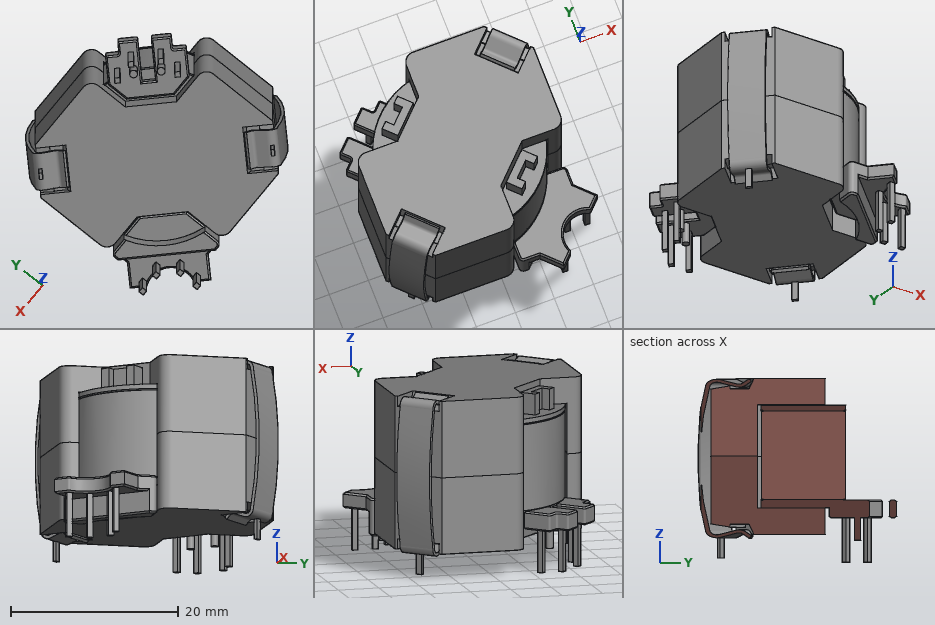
import cadquery as cq
import math

TURN = -45.0

CORE_HALF_SIDE = 12.38
CORE_HEIGHT = 9.33
CLIP_FLAT = 14.25
NOTCH_FLAT = 6.77
NOTCH_HALF = 3.07
CORE_ROUND = 1.3
CAVITY_RADIUS = 10.6
CAVITY_DEPTH = 6.15
POST_RADIUS = 5.45

SLOT_WIDTH = 5.7
SLOT_START = 10.6
SLOT_FLOOR_START = 11.02
SLOT_FLOOR = 8.1
SLOT_STEP = 12.6
SLOT_STEP_TOP = 8.45
SLOT_RAMP_END = 8.08

FLANGE_RADIUS = 10.42
UPPER_FLANGE = (5.4, 6.12)
LOWER_FLANGE = (-6.15, -5.1)
FLANGE_BEVEL = 0.15
HUB_RADIUS = 6.12
WINDING_RADIUS = 10.4
TAB_INNER, TAB_OUTER, TAB_RECESS = 7.1, 9.17, 8.08
TAB_HALF, TAB_RECESS_HALF = 2.23, 1.22
TAB_TOP = 8.68
FOOT_START = 7.2
FOOT_HALF = 4.85
FOOT_BOTTOM = -7.35
FOOT_WALL_GAP = 4.35
FOOT_BEVEL = 0.2
FOOT_ROUND = 0.25
BROAD_FOOT_TOP = -5.45
BROAD_FOOT_END = 15.83
BROAD_FOOT_ROUND = 0.55
BROAD_FOOT_BEVEL = 0.22
BITE_RADIUS = 3.0
BITE_CENTER = 16.8
FORK_FOOT_TOP = -5.17
FORK_STEP, FORK_END = 12.73, 14.3
PRONG_HALF = 3.2
FORK_SLOT_HALF = 0.82
FORK_SLOT_START = 9.15
SKIRT_BOTTOM = -10.0
BROAD_SKIRT_END = 11.67
STANDOFF_RADIUS = 0.45
STANDOFF_X, STANDOFF_Y = 10.83, 1.65

PIN_SIDE = 0.65
PIN_BOTTOM = -12.65
BROAD_PINS = ((15.15, 3.25), (13.35, 1.45))
FORK_PINS = ((-10.83, 3.62), (-12.62, 1.8))

CLIP_WIDTH = 4.52
CLIP_THICK = 0.4
CLIP_MID_Z = -0.25
BOW_PEAK = 15.53
BOW_RISE = 0.82
BOW_HALF = 8.5
BEND_RADIUS = 0.98
HOOK_SLOPE = 20.0
HOOK_DIP = 12.02
CURL_RADIUS = 0.45
CURL_SLOPE = 44.0
HOOK_TIP = 11.02
TAIL_WIDTH = 0.75
TAIL_Y = 13.93
TAIL_TOP = -9.4
TAIL_BOTTOM = -12.13


def mirrored_outline(half_points):
    """Close a chain of Y >= 0 points with its mirror image across the X axis."""
    return half_points + [(x, -y) for x, y in reversed(half_points)]


def prism(points, bottom, top):
    return cq.Workplane("XY").workplane(offset=bottom).polyline(points).close().extrude(top - bottom)


def disc(radius, bottom, top):
    return cq.Workplane("XY").workplane(offset=bottom).circle(radius).extrude(top - bottom)


def polar(center, radius, degrees):
    angle = math.radians(degrees)
    return (center[0] + radius * math.cos(angle), center[1] + radius * math.sin(angle))



def latch_slot():
    profile = [
        (SLOT_START, CORE_HEIGHT),
        (SLOT_FLOOR_START, SLOT_FLOOR),
        (SLOT_STEP, SLOT_FLOOR),
        (SLOT_STEP, SLOT_STEP_TOP),
        (CLIP_FLAT, SLOT_RAMP_END),
        (CLIP_FLAT, CORE_HEIGHT),
    ]
    return cq.Workplane("YZ").polyline(profile).close().extrude(SLOT_WIDTH / 2, both=True)


def make_core_half():
    """Upper half: a notched plate with two legs and a centre post."""
    notch_wall = NOTCH_FLAT - NOTCH_HALF
    diagonal = CORE_HALF_SIDE * math.sqrt(2)
    leg_corner = ((diagonal + notch_wall) / 2, (diagonal - notch_wall) / 2)
    quarter = [(NOTCH_FLAT, NOTCH_HALF), leg_corner, (diagonal - CLIP_FLAT, CLIP_FLAT)]
    half = quarter + [(-x, y) for x, y in reversed(quarter)]
    core = prism(mirrored_outline(half), 0, CORE_HEIGHT)

    for side in (">X", "<X"):
        core = core.edges("|Z").edges(side).fillet(CORE_ROUND)

    cavity = disc(CAVITY_RADIUS, 0, CAVITY_DEPTH).cut(disc(POST_RADIUS, 0, CAVITY_DEPTH))
    slot = latch_slot()
    return core.cut(cavity).cut(slot).cut(slot.mirror("XZ"))



def make_flange(bottom, top, bevelled_face):
    """Flange whose rim is bevelled on the side of the winding."""
    return disc(FLANGE_RADIUS, bottom, top).faces(bevelled_face).edges().chamfer(FLANGE_BEVEL)


def make_tab():
    """C-shaped tab on the upper flange, open away from the core axis."""
    half = [
        (TAB_INNER, TAB_HALF),
        (TAB_OUTER, TAB_HALF),
        (TAB_OUTER, TAB_RECESS_HALF),
        (TAB_RECESS, TAB_RECESS_HALF),
    ]
    return prism(mirrored_outline(half), UPPER_FLANGE[1], TAB_TOP)


def make_broad_foot():
    """Foot with a round bite in its end, and a skirt that reaches down along the flange outline."""
    side_sum = CORE_HALF_SIDE * math.sqrt(2)
    corner = ((side_sum + FOOT_WALL_GAP) / 2, (side_sum - FOOT_WALL_GAP) / 2)

    plate = prism(mirrored_outline([
        (FOOT_START, FOOT_START - FOOT_WALL_GAP),
        corner,
        (side_sum - FOOT_HALF, FOOT_HALF),
        (BROAD_FOOT_END, FOOT_HALF),
    ]), FOOT_BOTTOM, BROAD_FOOT_TOP)
    plate = plate.edges("|Z").edges(">Y or <Y").fillet(BROAD_FOOT_ROUND)
    bite = disc(BITE_RADIUS, FOOT_BOTTOM, BROAD_FOOT_TOP).translate((BITE_CENTER, 0, 0))
    plate = plate.cut(bite)
    horn_tips = cq.selectors.BoxSelector(
        (BROAD_FOOT_END - 0.27, -BITE_RADIUS, FOOT_BOTTOM), (BROAD_FOOT_END + 0.27, BITE_RADIUS, 0)
    )
    plate = plate.edges("|Z").edges(horn_tips).fillet(FOOT_ROUND)
    plate = plate.faces("<Z or >Z").edges().chamfer(BROAD_FOOT_BEVEL)

    skirt = prism(mirrored_outline([
        (FOOT_START, FOOT_START - FOOT_WALL_GAP),
        corner,
        (BROAD_SKIRT_END, side_sum - BROAD_SKIRT_END),
    ]), SKIRT_BOTTOM, BROAD_FOOT_TOP - BROAD_FOOT_BEVEL)
    skirt = skirt.edges("|Z").edges(">Y or <Y").fillet(BROAD_FOOT_ROUND)
    skirt = skirt.faces("<Z").edges().chamfer(BROAD_FOOT_BEVEL)
    skirt = skirt.cut(disc(FLANGE_RADIUS, SKIRT_BOTTOM, BROAD_FOOT_TOP))
    return plate.union(skirt)


def make_fork_foot():
    """Foot of two stepped prongs with a pair of standoffs, built towards +X and turned to -X."""
    plate = prism(mirrored_outline([
        (FORK_SLOT_START, FORK_SLOT_HALF),
        (FORK_END, FORK_SLOT_HALF),
        (FORK_END, PRONG_HALF),
        (FORK_STEP, PRONG_HALF),
        (FORK_STEP, FOOT_HALF),
        (FOOT_HALF + FOOT_WALL_GAP, FOOT_HALF),
        (FOOT_START, FOOT_START - FOOT_WALL_GAP),
    ][::-1]), FOOT_BOTTOM, FORK_FOOT_TOP)
    prong_corners = cq.selectors.BoxSelector(
        (FORK_STEP - 0.27, -FOOT_HALF - 0.27, SKIRT_BOTTOM), (FORK_END + 0.27, FOOT_HALF + 0.27, 0)
    )
    plate = plate.edges("|Z").edges(prong_corners).fillet(FOOT_ROUND)
    plate = plate.faces("<Z or >Z").edges().chamfer(FOOT_BEVEL)

    for side in (1, -1):
        standoff = disc(STANDOFF_RADIUS, SKIRT_BOTTOM, FOOT_BOTTOM)
        plate = plate.union(standoff.translate((STANDOFF_X, side * STANDOFF_Y, 0)))
    return plate.rotate((0, 0, 0), (0, 0, 1), 180)


def make_pin(x, y, angle):
    pin = cq.Workplane("XY").rect(PIN_SIDE, PIN_SIDE).extrude(FOOT_BOTTOM + 0.27 - PIN_BOTTOM)
    return pin.rotate((0, 0, 0), (0, 0, 1), angle).translate((x, y, PIN_BOTTOM))


def make_bobbin():
    bobbin = disc(HUB_RADIUS, LOWER_FLANGE[0], UPPER_FLANGE[1])
    bobbin = bobbin.union(make_flange(*UPPER_FLANGE, "<Z")).union(make_flange(*LOWER_FLANGE, ">Z"))
    tab = make_tab()
    bobbin = bobbin.union(tab).union(tab.mirror("YZ"))
    bobbin = bobbin.union(make_broad_foot()).union(make_fork_foot())
    for places, angle in ((BROAD_PINS, -TURN), (FORK_PINS, 0)):
        for x, y in places:
            for side in (1, -1):
                bobbin = bobbin.union(make_pin(x, side * y, angle))
    return bobbin.cut(disc(POST_RADIUS, LOWER_FLANGE[0], UPPER_FLANGE[1]))



def make_winding():
    bottom, top = LOWER_FLANGE[1], UPPER_FLANGE[0]
    return disc(WINDING_RADIUS, bottom, top).cut(disc(HUB_RADIUS, bottom, top))



def make_clip():
    """Bowed strip with a hook at each end and a tail below, on the +Y side."""
    bow_radius = (BOW_HALF**2 + BOW_RISE**2) / (2 * BOW_RISE)
    bow_quarter = BOW_PEAK - bow_radius + math.sqrt(bow_radius**2 - (BOW_HALF / 2)**2)

    bend_center = (BOW_PEAK - BOW_RISE - BEND_RADIUS, BOW_HALF)
    bend_inner = BEND_RADIUS - CLIP_THICK
    bend_end = 90 + HOOK_SLOPE
    bend_mid = bend_end / 2

    slope_start = polar(bend_center, BEND_RADIUS, bend_end)
    slope_length = (slope_start[0] - HOOK_DIP) / math.cos(math.radians(HOOK_SLOPE))
    dip = polar(slope_start, slope_length, 180 + HOOK_SLOPE)
    curl_center = polar(dip, CURL_RADIUS, bend_end)
    curl_outer = CURL_RADIUS + CLIP_THICK
    curl_start, curl_end = 270 + HOOK_SLOPE, 270 - CURL_SLOPE
    curl_mid = (curl_start + curl_end) / 2

    curl_tip = polar(curl_center, CURL_RADIUS, curl_end)
    tip_length = (curl_tip[0] - HOOK_TIP) / math.cos(math.radians(CURL_SLOPE))
    tip = polar(curl_tip, tip_length, 180 - CURL_SLOPE)

    half = (
        cq.Workplane("YZ")
        .moveTo(BOW_PEAK, 0)
        .threePointArc((bow_quarter, BOW_HALF / 2), (BOW_PEAK - BOW_RISE, BOW_HALF))
        .threePointArc(polar(bend_center, BEND_RADIUS, bend_mid), slope_start)
        .lineTo(*dip)
        .threePointArc(polar(curl_center, CURL_RADIUS, curl_mid), curl_tip)
        .lineTo(*tip)
        .lineTo(*polar(tip, CLIP_THICK, curl_end))
        .lineTo(*polar(curl_center, curl_outer, curl_end))
        .threePointArc(
            polar(curl_center, curl_outer, curl_mid), polar(curl_center, curl_outer, curl_start)
        )
        .lineTo(*polar(bend_center, bend_inner, bend_end))
        .threePointArc(
            polar(bend_center, bend_inner, bend_mid), polar(bend_center, bend_inner, 0)
        )
        .threePointArc((bow_quarter - CLIP_THICK, BOW_HALF / 2), (BOW_PEAK - CLIP_THICK, 0))
        .close()
        .extrude(CLIP_WIDTH / 2, both=True)
    )
    strip = half.union(half.mirror("XY")).translate((0, 0, CLIP_MID_Z))
    tail = (
        cq.Workplane("XY")
        .workplane(offset=TAIL_BOTTOM)
        .center(0, TAIL_Y)
        .rect(TAIL_WIDTH, CLIP_THICK)
        .extrude(TAIL_TOP - TAIL_BOTTOM)
    )
    return strip.union(tail)



def placed(body, angle=0.0):
    return body.rotate((0, 0, 0), (0, 0, 1), angle + TURN).val()


core_half = make_core_half()
cores = [placed(core_half), placed(core_half.mirror("XY"))]
clip = make_clip()
clips = [placed(clip, angle) for angle in (0, 180)]
bobbin = placed(make_bobbin())
winding = placed(make_winding())

result = cq.Compound.makeCompound([*cores, bobbin, winding, *clips])